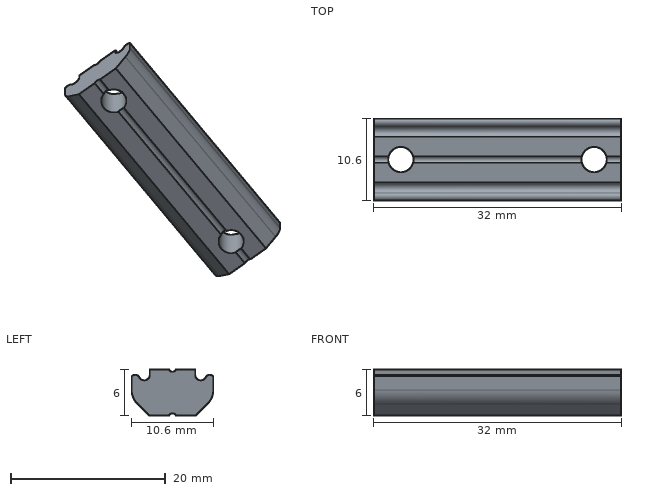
import cadquery as cq
import math

length = 32.0
width = 10.6
height = 6.0
half_width = width / 2

bottom_half_width = 3.0
flank_radius = 2.5
flank_angle = math.radians(45)

land_half_width = 2.95
trough_radius = 0.71
trough_floor_z = 4.59
rim_radius = 0.6
rim_top_z = 5.31

center_groove_half_width = 0.44
center_groove_depth = 0.3

hole_diameter = 3.24
hole_spacing = 25.0


def point_on_circle(center, radius, angle):
    return (center[0] + radius * math.cos(angle), center[1] + radius * math.sin(angle))


def make_bar():
    """Extrude half of the cross-section (Y, Z) and mirror it to the other side."""
    flank_y = half_width - flank_radius
    flank_z = flank_y - bottom_half_width + flank_radius / math.sin(flank_angle)
    flank_center = (flank_y, flank_z)
    flank_start = point_on_circle(flank_center, flank_radius, -flank_angle)
    flank_middle = point_on_circle(flank_center, flank_radius, -flank_angle / 2)

    trough_center = (land_half_width + trough_radius, trough_floor_z + trough_radius)
    center_distance = trough_radius + rim_radius
    rim_center_z = rim_top_z - rim_radius
    center_angle = math.asin((trough_center[1] - rim_center_z) / center_distance)
    rim_center = (trough_center[0] + center_distance * math.cos(center_angle), rim_center_z)
    rim_edge_angle = math.acos((half_width - rim_center[0]) / rim_radius)
    rim_edge = point_on_circle(rim_center, rim_radius, rim_edge_angle)
    rim_top = (rim_center[0], rim_top_z)
    blend_point = point_on_circle(trough_center, trough_radius, -center_angle)
    trough_middle = point_on_circle(trough_center, trough_radius, -(math.pi + center_angle) / 2)

    half_bar = (
        cq.Workplane("YZ", origin=(-length / 2, 0, 0))
        .lineTo(bottom_half_width, 0)
        .lineTo(*flank_start)
        .threePointArc(flank_middle, (half_width, flank_z))
        .lineTo(*rim_edge)
        .threePointArc(rim_top, blend_point)
        .threePointArc(trough_middle, (land_half_width, trough_center[1]))
        .lineTo(land_half_width, height)
        .lineTo(0, height)
        .close()
        .extrude(length)
    )
    return half_bar.union(half_bar.mirror("XZ")).clean()


def make_center_groove(surface_z):
    """Round cutter whose segment below a flat surface has the groove width and depth."""
    radius = (center_groove_half_width**2 + center_groove_depth**2) / (2 * center_groove_depth)
    axis_offset = radius - center_groove_depth
    axis_z = surface_z + axis_offset if surface_z > 0 else surface_z - axis_offset
    return cq.Workplane("YZ", origin=(-length / 2, 0, axis_z)).circle(radius).extrude(length)


def make_holes():
    """Through holes, centred across the width and evenly placed along the length."""
    return (
        cq.Workplane("XY")
        .pushPoints([(-hole_spacing / 2, 0), (hole_spacing / 2, 0)])
        .circle(hole_diameter / 2)
        .extrude(height)
    )


result = make_bar()
for groove_surface_z in (0, height):
    result = result.cut(make_center_groove(groove_surface_z))
result = result.cut(make_holes())